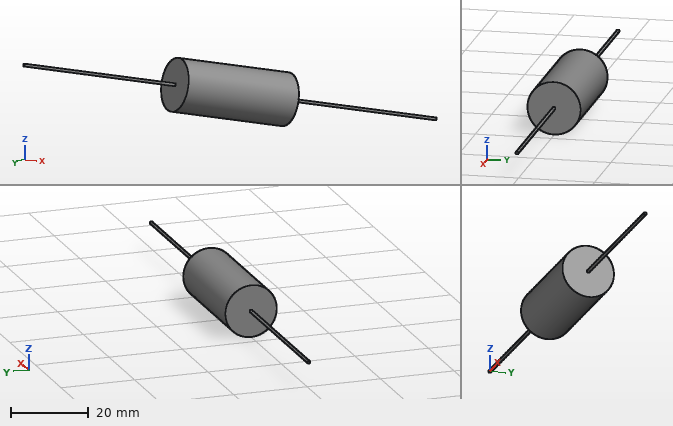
import cadquery as cq

lead_length = 123.0
lead_diameter = 0.8
case_length = 33.0
case_diameter = 14.0


def rod_along_x(diameter, length):
    """Solid round rod centred on the origin with its axis along X."""
    return cq.Workplane("YZ", origin=(-length / 2, 0, 0)).circle(diameter / 2).extrude(length)


lead = rod_along_x(lead_diameter, lead_length)

case = rod_along_x(case_diameter, case_length).cut(lead)

result = cq.Compound.makeCompound([case.val(), lead.val()])